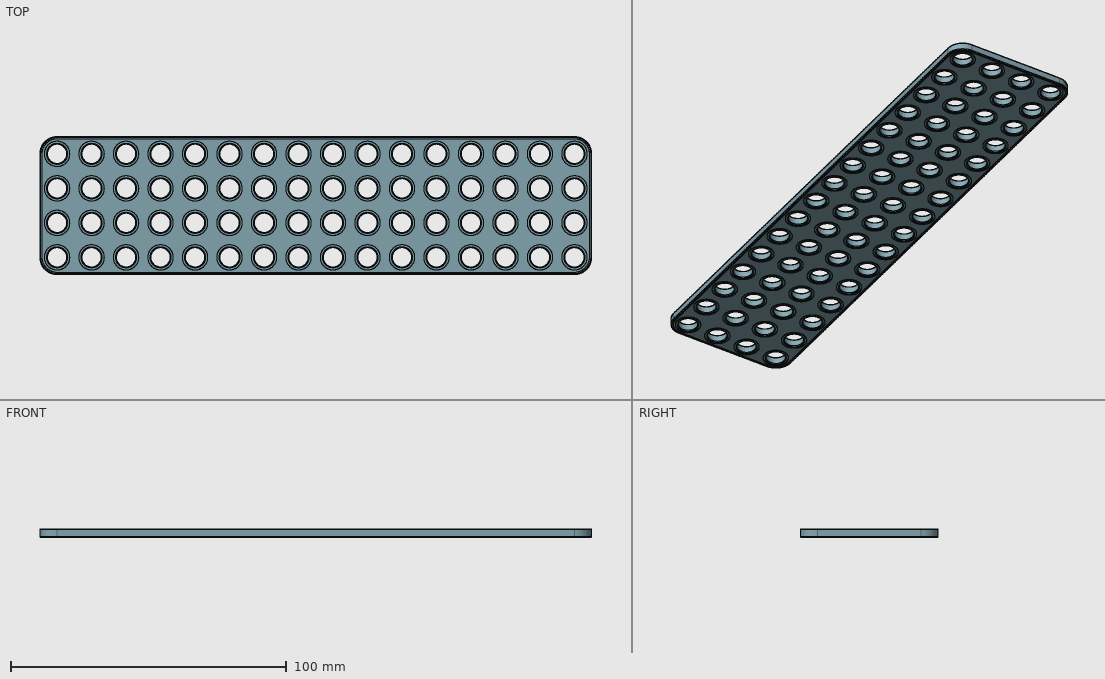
import cadquery as cq

PITCH = 12.5
COLUMNS = 16
ROWS = 4
LENGTH = COLUMNS * PITCH
WIDTH = ROWS * PITCH
THICKNESS = 3.12
CORNER_RADIUS = PITCH / 2
EDGE_CHAMFER = 0.3

HOLE_DIAMETER = 7.0

PANEL_DEPTH = 0.2
BORDER_INSET = 0.8
COLLAR_DIAMETER = 9.2


def rounded_block(inset, base, height):
    """Block following the plate outline, moved inwards by the inset, with its underside at base."""
    block = cq.Workplane("XY").workplane(offset=base)
    block = block.rect(LENGTH - 2 * inset, WIDTH - 2 * inset).extrude(height)
    return block.edges("|Z").fillet(CORNER_RADIUS - inset)


def cell_cylinders(diameter, base, height):
    """One upright cylinder in the middle of every cell."""
    centres = cq.Workplane("XY").workplane(offset=base).rarray(PITCH, PITCH, COLUMNS, ROWS)
    return centres.circle(diameter / 2).extrude(height)


def make_plate():
    """Rounded plate with its holes, where every rim of both faces is chamfered."""
    plate = rounded_block(0, 0, THICKNESS)
    plate = plate.cut(cell_cylinders(HOLE_DIAMETER, 0, THICKNESS))
    return plate.faces("<Z or >Z").edges().chamfer(EDGE_CHAMFER)


def panel_recess(base):
    """Shallow volume to sink into one face, lying between the border and the collars."""
    panel = rounded_block(BORDER_INSET, base, PANEL_DEPTH)
    return panel.cut(cell_cylinders(COLLAR_DIAMETER, base, PANEL_DEPTH))


result = make_plate()
for recess_base in (0, THICKNESS - PANEL_DEPTH):
    result = result.cut(panel_recess(recess_base))